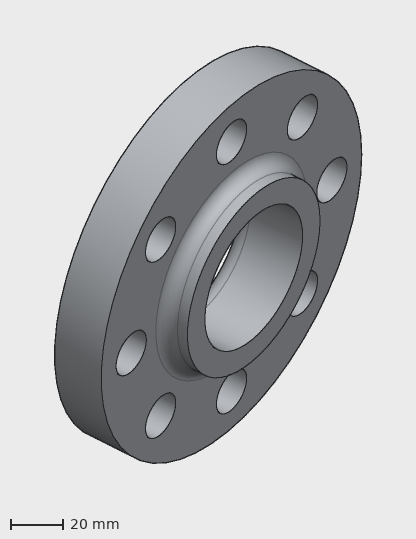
import cadquery as cq
import math

flange_diameter = 165.1
flange_thickness = 22.6
total_length = 33.4

hub_diameter = 84.0
hub_fillet_radius = 6.0

bore_diameter = 61.9
mouth_radius = 8.0

bolt_circle_diameter = 127.1
bolt_hole_diameter = 19.2
bolt_hole_count = 8


def make_body():
    """Revolve the half section; profile coordinates are (axial X, radial Y)."""
    flange_r = flange_diameter / 2
    hub_r = hub_diameter / 2
    bore_r = bore_diameter / 2
    diagonal = 1 - math.sqrt(0.5)

    mouth_middle = (mouth_radius * diagonal, bore_r + mouth_radius * diagonal)
    fillet_middle = (
        flange_thickness + hub_fillet_radius * diagonal,
        hub_r + hub_fillet_radius * diagonal,
    )
    profile = (
        cq.Workplane("XY")
        .moveTo(mouth_radius, bore_r)
        .threePointArc(mouth_middle, (0, bore_r + mouth_radius))
        .lineTo(0, flange_r)
        .lineTo(flange_thickness, flange_r)
        .lineTo(flange_thickness, hub_r + hub_fillet_radius)
        .threePointArc(fillet_middle, (flange_thickness + hub_fillet_radius, hub_r))
        .lineTo(total_length, hub_r)
        .lineTo(total_length, bore_r)
        .close()
    )
    return profile.revolve(360, (0, 0, 0), (1, 0, 0))


def make_bolt_holes():
    """Ring of cylinders that pass through the flange, the first one on the Y axis."""
    return (
        cq.Workplane("YZ")
        .polarArray(bolt_circle_diameter / 2, 0, 360, bolt_hole_count)
        .circle(bolt_hole_diameter / 2)
        .extrude(flange_thickness)
    )


result = make_body().cut(make_bolt_holes())